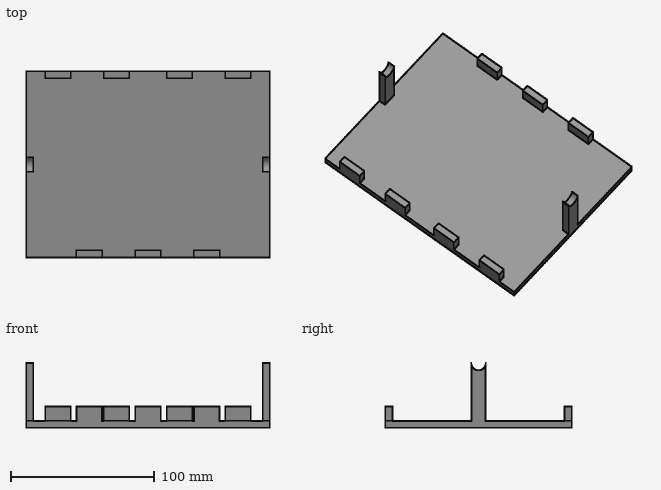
import cadquery as cq

plate_length = 170.0
plate_width = 130.0
plate_thickness = 5.0
total_height = 45.2

wall = 5.1

tab_length = 18.0
tab_height = 10.0
rear_inner_offset = 22.0
rear_outer_offset = 62.7
front_offset = 41.0
rear_tab_positions = (-rear_outer_offset, -rear_inner_offset, rear_inner_offset, rear_outer_offset)
front_tab_positions = (-front_offset, 0, front_offset)

post_width = 10.0
cradle_radius = post_width / 2


def upright(length, width, height, x, y):
    """Block standing on the top face of the plate."""
    block = cq.Workplane("XY").box(length, width, height, centered=(True, True, False))
    return block.translate((x, y, plate_thickness))


result = cq.Workplane("XY").box(
    plate_length, plate_width, plate_thickness, centered=(True, True, False)
)

tab_y = (plate_width - wall) / 2
for x in rear_tab_positions:
    result = result.union(upright(tab_length, wall, tab_height, x, tab_y))
for x in front_tab_positions:
    result = result.union(upright(tab_length, wall, tab_height, x, -tab_y))

post_x = (plate_length - wall) / 2
for x in (-post_x, post_x):
    result = result.union(upright(wall, post_width, total_height - plate_thickness, x, 0))

cradle_cutter = (
    cq.Workplane("YZ")
    .center(0, total_height)
    .circle(cradle_radius)
    .extrude(plate_length / 2, both=True)
)
result = result.cut(cradle_cutter)